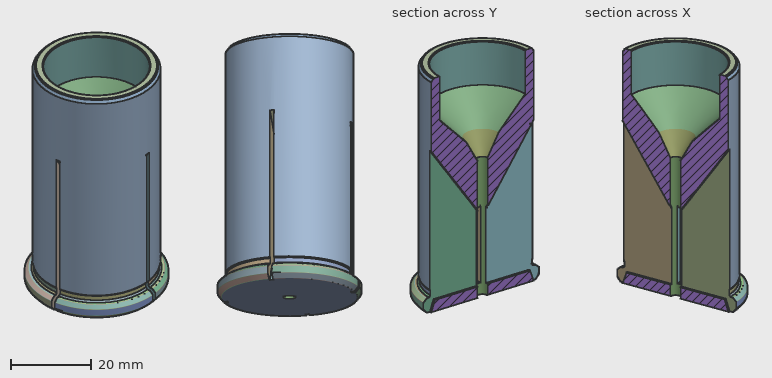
import cadquery as cq
import math

height = 64.0
body_radius = 16.0
flange_radius = 18.0

foot_chamfer = 1.0
band_bottom = 1.2
band_top = 3.1
flange_top = 4.0
edge_round = 0.2
shoulder_radius = flange_radius - foot_chamfer
fillet_base_radius = 16.25
neck_radius = 15.8
neck_bottom = 4.5
neck_top = 5.7
body_bottom = 6.0

bevel_bottom = 63.05
bevel_break_z = 63.8
bevel_break_radius = 15.4
rim_radius = 15.05
inner_bevel = 0.25

cup_radius = 26.5 / 2
cup_depth = 12.0
funnel_radius = 10.0 / 2
hole_radius = 3.0 / 2
cup_floor_angle = 45.0
funnel_angle = 60.0

slot_width = 1.0
slot_top = 44.1
slot_inner_top = 24.0
slot_floor = 3.2
slot_foot_radius = 16.0
slot_foot_angle = 20.0


def is_flange_corner(edge):
    """True for the circular corners that lie outside the fillet at the flange base."""
    return edge.radius() > (fillet_base_radius + shoulder_radius) / 2


def make_body():
    """Revolve the solid outer shape about Z and round the flange corners."""
    outline = [
        (0, 0),
        (shoulder_radius, 0),
        (flange_radius, band_bottom),
        (flange_radius, band_top),
        (shoulder_radius, flange_top),
        (fillet_base_radius, flange_top),
        (neck_radius, neck_bottom),
        (neck_radius, neck_top),
        (body_radius, body_bottom),
        (body_radius, bevel_bottom),
        (bevel_break_radius, bevel_break_z),
        (rim_radius, height),
        (0, height),
    ]
    body = cq.Workplane("XZ").polyline(outline).close().revolve(360, (0, 0), (0, 1))
    return body.edges(cq.selectors.TypeSelector("CIRCLE")).filter(is_flange_corner).fillet(edge_round)


def make_bore():
    """Revolve the cup, its funnel floor and the axial hole."""
    cup_floor = height - cup_depth
    funnel_break_z = cup_floor - (cup_radius - funnel_radius) * math.tan(math.radians(cup_floor_angle))
    hole_top = funnel_break_z - (funnel_radius - hole_radius) * math.tan(math.radians(funnel_angle))
    outline = [
        (0, 0),
        (hole_radius, 0),
        (hole_radius, hole_top),
        (funnel_radius, funnel_break_z),
        (cup_radius, cup_floor),
        (cup_radius, height - inner_bevel),
        (cup_radius + inner_bevel, height),
        (0, height),
    ]
    return cq.Workplane("XZ").polyline(outline).close().revolve(360, (0, 0), (0, 1))


def make_slot():
    """Slot on the +X side: its top slopes down to the hole and its floor drops away at the foot."""
    floor_radius = slot_foot_radius - slot_floor * math.tan(math.radians(slot_foot_angle))
    outline = [
        (0, slot_floor),
        (floor_radius, slot_floor),
        (slot_foot_radius, 0),
        (flange_radius, 0),
        (flange_radius, slot_top),
        (body_radius, slot_top),
        (hole_radius, slot_inner_top),
        (0, slot_inner_top),
    ]
    return cq.Workplane("XZ").polyline(outline).close().extrude(slot_width / 2, both=True)


result = make_body().cut(make_bore())
slot = make_slot()
for quarter in range(4):
    result = result.cut(slot.rotate((0, 0, 0), (0, 0, 1), 90 * quarter))